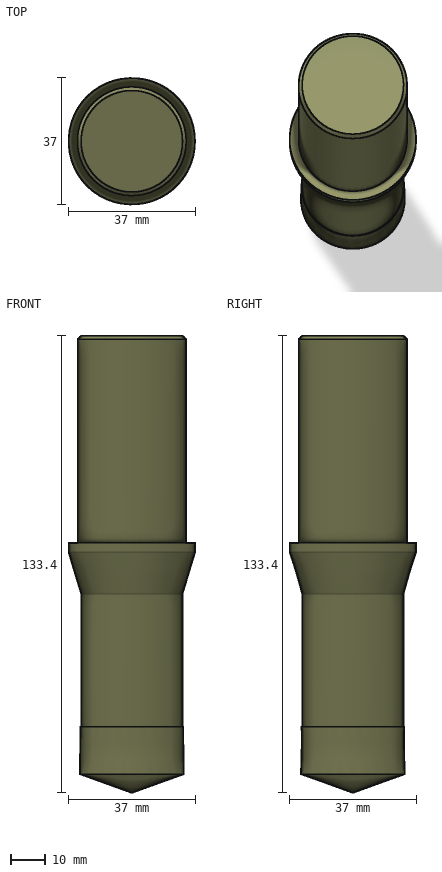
import cadquery as cq

total_length = 133.4
point_height = 5.5
tip_top = 19.2
cone_bottom = 58.2
collar_bottom = 70.3
collar_top = 73.0

shank_diameter = 31.7
collar_diameter = 37.0
body_diameter = 29.6
tip_bottom_diameter = 30.4
tip_top_diameter = 30.0

shank_chamfer = 1.1


def revolve_profile(points):
    """Turn a closed (radius, height) outline about the Z axis."""
    return cq.Workplane("XZ").polyline(points).close().revolve(360, (0, 0, 0), (0, 1, 0))


def make_holder():
    """Shank, collar with its conical underside, and slimmer lower body."""
    shank_radius = shank_diameter / 2
    collar_radius = collar_diameter / 2
    body_radius = body_diameter / 2
    return revolve_profile([
        (0, tip_top),
        (body_radius, tip_top),
        (body_radius, cone_bottom),
        (collar_radius, collar_bottom),
        (collar_radius, collar_top),
        (shank_radius, collar_top),
        (shank_radius, total_length - shank_chamfer),
        (shank_radius - shank_chamfer, total_length),
        (0, total_length),
    ])


def make_drill_tip():
    """Cutting tip with a slight back taper and a conical point."""
    return revolve_profile([
        (0, 0),
        (tip_bottom_diameter / 2, point_height),
        (tip_top_diameter / 2, tip_top),
        (0, tip_top),
    ])


holder = make_holder()
drill_tip = make_drill_tip()

result = cq.Compound.makeCompound([holder.val(), drill_tip.val()])